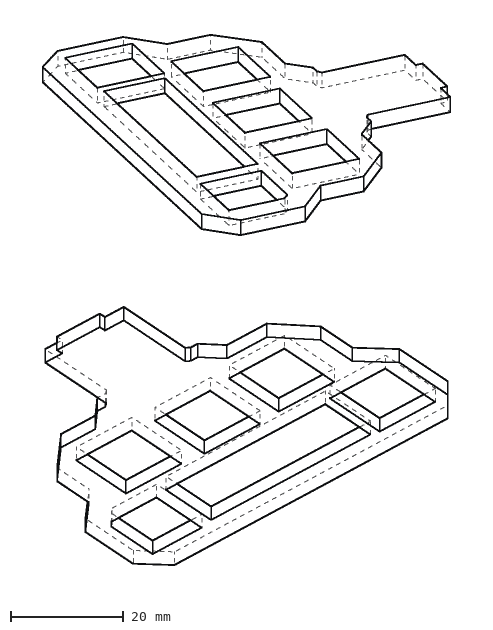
import cadquery as cq

plate_width = 75.1
plate_depth = 61.4
thickness = 3.0

base_left_chamfer_x = 4.65
base_left_chamfer_y = 5.2
base_right_chamfer = 5.2
base_left_top = 18.1
base_right_top = 17.9

middle_left = 5.9
middle_right = 68.8
middle_bottom = 23.95
middle_top = 32.45
shoulder_left = 12.5
shoulder_right = 61.6
shoulder_height = 39.4

collar_slope_left = 22.0
collar_slope_right = 53.4
collar_left = 25.6
collar_right = 49.6
collar_height = 43.2
neck_left = 28.1
neck_right = 46.85
neck_top = 60.1
neck_root_run = 0.8
neck_root_rise = 0.6

tab_left = 32.6
tab_right = 42.8

square_side = 13.2
square_corners = [
    (3.1, 5.2),
    (12.5, 21.55),
    (30.65, 21.0),
    (48.9, 21.55),
]
low_window_depth = 12.0
long_window_width = 38.0
long_window_corner = (18.1, 5.6)
small_window_width = 11.7
small_window_corner = (58.9, 5.0)
small_window_chamfer = 1.05


def make_plate():
    neck_root = collar_height + neck_root_rise
    left_side = [
        (base_left_chamfer_x, 0),
        (0, base_left_chamfer_y),
        (0, base_left_top),
        (middle_left, middle_bottom),
        (middle_left, middle_top),
        (shoulder_left, shoulder_height),
        (collar_slope_left, shoulder_height),
        (collar_left, collar_height),
        (neck_left - neck_root_run, collar_height),
        (neck_left, neck_root),
        (neck_left, neck_top),
        (tab_left, neck_top),
        (tab_left, plate_depth),
    ]
    right_side = [
        (tab_right, plate_depth),
        (tab_right, neck_top),
        (neck_right, neck_top),
        (neck_right, neck_root),
        (neck_right + neck_root_run, collar_height),
        (collar_right, collar_height),
        (collar_slope_right, shoulder_height),
        (shoulder_right, shoulder_height),
        (middle_right, middle_top),
        (middle_right, middle_bottom),
        (plate_width, base_right_top),
        (plate_width, base_right_chamfer),
        (plate_width - base_right_chamfer, 0),
    ]
    return cq.Workplane("XY").polyline(left_side + right_side).close().extrude(thickness)


def make_window(corner, width, depth):
    """Block that cuts a rectangular window through the plate."""
    return cq.Workplane("XY").box(width, depth, thickness, centered=False).translate((*corner, 0))


result = make_plate()
for square_corner in square_corners:
    result = result.cut(make_window(square_corner, square_side, square_side))
result = result.cut(make_window(long_window_corner, long_window_width, low_window_depth))

small_window = make_window(small_window_corner, small_window_width, low_window_depth)
small_window = small_window.edges("|Z and >X and >Y").chamfer(small_window_chamfer)
result = result.cut(small_window)